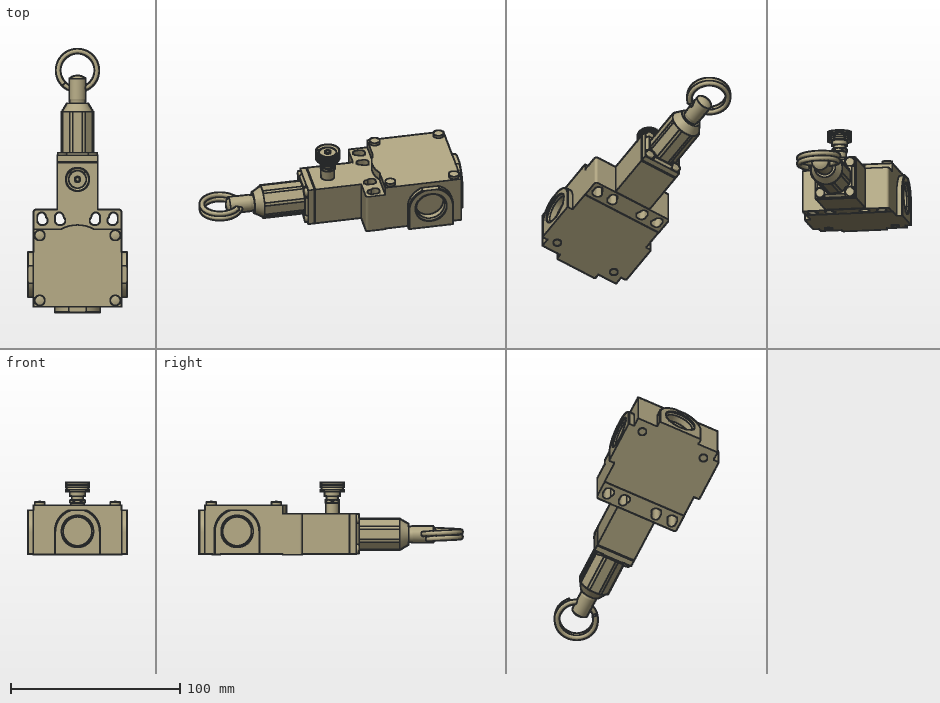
import cadquery as cq
import math


box_width = 52.0
box_height = 29.0
cover_end_y = 45.95
cover_bump_half_width = 9.5
cover_bump_y = 48.35
flange_end_y = 57.5
flange_corner_radius = 1.5

neck_size = 24.0

foot_height = 0.4
foot_diameter = 4.75
foot_x = 20.0
foot_y = 6.8

mount_hole_diameter = 5.0
mount_hole_y = 50.9
mount_hole_spacings = (9.75, 20.2)
mount_slot_shift = 1.0
mount_slot_travel = 2.25

boss_projection = 3.5
boss_radius = 13.5
boss_top_z = 26.0
boss_edge_chamfer = 0.5
conduit_diameter = 17.0
conduit_mouth_diameter = 19.0
conduit_mouth_depth = 0.8
conduit_cone_depth = 1.0
conduit_depth = 6.0
side_boss_y = 19.0

cover_screw_diameter = 6.0
cover_screw_rim = 1.75
cover_screw_dome = 0.4
cover_screw_x = 22.3
cover_screw_y = (3.75, 42.2)

seam_y = 85.2
seam_width = 0.5
seam_depth = 0.3
plate_shoulder_y = 89.4
plate_end_y = 91.1
plate_raise = plate_end_y - plate_shoulder_y
plate_chamfer = 1.6
plate_screw_diameter = 5.5
plate_screw_offset = 9.0
plate_screw_edge = 0.4

pull_axis_z = 11.75

boot_facets = 8
boot_across_flats = 19.0
boot_facet_width = 5.9
boot_shoulder_y = 115.1
boot_end_y = 120.3
boot_nose_base_diameter = 18.8
boot_nose_tip_diameter = 12.6

rod_diameter = 10.0
rod_base_y = 110.0
rod_neck_diameter = 9.4
rod_neck_y = 121.2
rod_step_y = 122.6
rod_shoulder_y = 134.8
rod_dome_height = 1.9

ring_wire_diameter = 3.0
ring_outer_diameter = 25.8
ring_end_y = 152.49
ring_pitch = 3.06
ring_turns = 1.75

button_y = 75.25
button_base_z = 20.0
stem_diameter = 8.0
stem_top_z = 30.1
nut_across_corners = 9.6
nut_rounded_diameter = 9.2
nut_chamfer = 0.6
nut_top_z = 32.2
button_neck_diameter = 7.0
collar_diameter = 9.2
collar_z = 34.3
head_diameter = 14.0
head_z = 37.0
lower_groove_z = 38.2
lower_groove_floor_diameter = 13.4
groove_diameter = 12.4
middle_rib_z = 39.5
upper_groove_z = 40.6
top_rib_z = 41.15
button_top_z = 42.35
dish_rim_diameter = 13.4
dish_floor_diameter = 10.3
dish_depth = 1.2
dish_wall_height = 0.3
button_pin_diameter = 3.5
button_pin_tip_diameter = 2.5
button_pin_height = 0.9
button_pin_chamfer = 0.2


def block(width, y_start, y_end, z_start, z_end):
    """Box centred on X between the given Y and Z limits."""
    size_y = y_end - y_start
    size_z = z_end - z_start
    return cq.Workplane("XY").box(width, size_y, size_z, centered=(True, False, False)).translate(
        (0, y_start, z_start)
    )


def dome_midpoint(radius, height):
    """Point halfway out on a spherical dome: distance from its axis and rise above its base."""
    sphere_radius = (radius**2 + height**2) / (2 * height)
    distance = radius / 2
    return distance, height - sphere_radius + math.sqrt(sphere_radius**2 - distance**2)


def cover_outline():
    half_width = box_width / 2
    return (
        cq.Workplane("XY")
        .moveTo(-half_width, 0)
        .lineTo(half_width, 0)
        .lineTo(half_width, cover_end_y)
        .lineTo(cover_bump_half_width, cover_end_y)
        .threePointArc((0, cover_bump_y), (-cover_bump_half_width, cover_end_y))
        .lineTo(-half_width, cover_end_y)
        .close()
    )


def conduit_boss():
    """Arched boss with a flat top, standing on the front face and centred on X = 0."""
    arch = (
        cq.Workplane("XZ")
        .moveTo(-boss_radius, 0)
        .lineTo(boss_radius, 0)
        .lineTo(boss_radius, boss_radius)
        .threePointArc((0, 2 * boss_radius), (-boss_radius, boss_radius))
        .close()
        .extrude(boss_projection)
    )
    arch = arch.faces("<Y").edges("not(<Z)").chamfer(boss_edge_chamfer)
    return arch.intersect(block(2 * boss_radius, -boss_projection, 0, 0, boss_top_z))


def conduit_hole():
    """Blind round hole with a wider mouth that narrows in a cone, entering the front boss."""
    profile = [
        (0, -boss_projection),
        (conduit_mouth_diameter / 2, -boss_projection),
        (conduit_mouth_diameter / 2, conduit_mouth_depth - boss_projection),
        (conduit_diameter / 2, conduit_mouth_depth + conduit_cone_depth - boss_projection),
        (conduit_diameter / 2, conduit_depth - boss_projection),
        (0, conduit_depth - boss_projection),
    ]
    hole = cq.Workplane("XY").polyline(profile).close().revolve(360, (0, 0), (0, 1))
    return hole.translate((0, 0, boss_radius))


def on_three_sides(front_feature):
    """Copies of a front feature on the front, left and right of the box."""
    copies = [front_feature]
    for side in (-1, 1):
        turned = front_feature.rotate((0, 0, 0), (0, 0, 1), side * 90)
        copies.append(turned.translate((side * box_width / 2, side_boss_y, 0)))
    return copies


def mounting_hole(x, side):
    """Through hole merged with a short slot that is shifted outwards."""
    height = neck_size + 2 * foot_height
    round_hole = cq.Workplane("XY").center(x, mount_hole_y).circle(mount_hole_diameter / 2).extrude(height)
    slot = (
        cq.Workplane("XY")
        .center(x + side * mount_slot_shift, mount_hole_y + mount_slot_travel / 2)
        .slot2D(mount_hole_diameter + mount_slot_travel, mount_hole_diameter, 90)
        .extrude(height)
    )
    return round_hole.union(slot).translate((0, 0, -foot_height))


def cover_screw_head():
    """Round head whose top is a shallow spherical dome."""
    radius = cover_screw_diameter / 2
    top_z = cover_screw_rim + cover_screw_dome
    mid_x, mid_rise = dome_midpoint(radius, cover_screw_dome)
    return (
        cq.Workplane("XZ")
        .lineTo(radius, 0)
        .lineTo(radius, cover_screw_rim)
        .threePointArc((mid_x, cover_screw_rim + mid_rise), (0, top_z))
        .close()
        .revolve(360, (0, 0), (0, 1))
    )


def plate_screw_head():
    head = cq.Workplane("XZ").circle(plate_screw_diameter / 2).extrude(-plate_raise)
    return head.faces(">Y").edges().fillet(plate_screw_edge)


def end_plate():
    """Chamfered pad on the neck end, cut back at the corners for four screw heads."""
    pad = block(neck_size, plate_shoulder_y, plate_end_y, 0, neck_size)
    pad = pad.faces(">Y").edges().chamfer(plate_chamfer)
    pocket_reach = neck_size / 2 - plate_screw_offset + plate_screw_diameter / 2
    pocket = block(2 * pocket_reach, plate_shoulder_y, plate_end_y, -pocket_reach, pocket_reach)
    sides = (-1, 1)
    for side_x in sides:
        for side_z in sides:
            pad = pad.cut(pocket.translate((side_x * neck_size / 2, 0, (1 + side_z) * neck_size / 2)))
    heads = [
        plate_screw_head().translate(
            (side_x * plate_screw_offset, plate_shoulder_y, neck_size / 2 + side_z * plate_screw_offset)
        )
        for side_x in sides
        for side_z in sides
    ]
    return [pad] + heads


def make_housing():
    flange = block(box_width, 0, flange_end_y, 0, neck_size)
    flange = flange.union(block(box_width, cover_end_y, flange_end_y, -foot_height, 0))
    flange = flange.edges("|Z and >Y").fillet(flange_corner_radius)
    housing = flange.union(cover_outline().extrude(box_height))

    neck = block(neck_size, cover_end_y, plate_shoulder_y, 0, neck_size)
    seam = block(neck_size, seam_y, seam_y + seam_width, 0, neck_size)
    seam_core = block(
        neck_size - 2 * seam_depth, seam_y, seam_y + seam_width, seam_depth, neck_size - seam_depth
    )
    housing = housing.union(neck.cut(seam.cut(seam_core)))
    for piece in end_plate():
        housing = housing.union(piece)

    for boss in on_three_sides(conduit_boss()):
        housing = housing.union(boss)
    for hole in on_three_sides(conduit_hole()):
        housing = housing.cut(hole)

    for side in (-1, 1):
        for spacing in mount_hole_spacings:
            housing = housing.cut(mounting_hole(side * spacing, side))
        foot = cq.Workplane("XY").circle(foot_diameter / 2).extrude(-foot_height)
        housing = housing.union(foot.translate((side * foot_x, foot_y, 0)))
        for screw_y in cover_screw_y:
            housing = housing.union(cover_screw_head().translate((side * cover_screw_x, screw_y, box_height)))

    button_hole = cq.Workplane("XY").circle(stem_diameter / 2).extrude(neck_size - button_base_z)
    return housing.cut(button_hole.translate((0, button_y, button_base_z)))


def turned_on_pull_axis(profile):
    """Revolve an outline of radius and Y about the pull axis."""
    return profile.close().revolve(360, (0, 0), (0, 1)).translate((0, 0, pull_axis_z))


def make_boot():
    """Octagon with bevelled corners and a conical nose, bored for the rod."""
    flat_radius = boot_across_flats / 2
    corner_radius = math.hypot(flat_radius, boot_facet_width / 2)
    facet_half_angle = math.atan2(boot_facet_width / 2, flat_radius)
    outline = []
    for facet in range(boot_facets):
        for end in (-1, 1):
            angle = facet * 2 * math.pi / boot_facets + end * facet_half_angle
            outline.append((corner_radius * math.cos(angle), corner_radius * math.sin(angle)))
    grip = cq.Workplane("XZ").polyline(outline).close().extrude(plate_end_y - boot_shoulder_y)
    grip = grip.translate((0, plate_end_y, pull_axis_z))
    nose = turned_on_pull_axis(
        cq.Workplane("XY")
        .moveTo(0, boot_shoulder_y)
        .lineTo(boot_nose_base_diameter / 2, boot_shoulder_y)
        .lineTo(boot_nose_tip_diameter / 2, boot_end_y)
        .lineTo(0, boot_end_y)
    )
    bore = cq.Workplane("XZ").circle(rod_neck_diameter / 2).extrude(rod_base_y - boot_end_y)
    return grip.union(nose).cut(bore.translate((0, rod_base_y, pull_axis_z)))


def make_ring():
    """Split ring: round wire wound as a flat helix through the rod."""
    coil_radius = (ring_outer_diameter - ring_wire_diameter) / 2
    coil_height = ring_pitch * ring_turns
    path = cq.Wire.makeHelix(ring_pitch, coil_height, coil_radius)
    wire = (
        cq.Workplane("XZ", origin=(coil_radius, 0, 0))
        .circle(ring_wire_diameter / 2)
        .sweep(cq.Workplane(obj=path), isFrenet=True)
    )
    towards_rod = 270
    start_angle = towards_rod - ring_turns * 180
    ring_centre_y = ring_end_y - ring_outer_diameter / 2
    return wire.rotate((0, 0, 0), (0, 0, 1), start_angle).translate(
        (0, ring_centre_y, pull_axis_z - coil_height / 2)
    )


def make_rod(ring):
    """Domed pull rod with a passage for the ring wire."""
    radius = rod_diameter / 2
    dome_y = rod_shoulder_y + rod_dome_height
    mid_x, mid_rise = dome_midpoint(radius, rod_dome_height)
    rod = turned_on_pull_axis(
        cq.Workplane("XY")
        .moveTo(0, rod_base_y)
        .lineTo(rod_neck_diameter / 2, rod_base_y)
        .lineTo(rod_neck_diameter / 2, rod_neck_y)
        .lineTo(radius, rod_step_y)
        .lineTo(radius, rod_shoulder_y)
        .threePointArc((mid_x, rod_shoulder_y + mid_rise), (0, dome_y))
    )
    return rod.cut(ring)


def button_nut():
    """Hexagon nut with both ends rounded off by a cone."""
    height = nut_top_z - stem_top_z
    nut = cq.Workplane("XY").polygon(6, nut_across_corners).extrude(height)
    rounding = cq.Workplane("XY").circle(nut_rounded_diameter / 2).extrude(height)
    return nut.intersect(rounding.edges().chamfer(nut_chamfer)).translate((0, 0, stem_top_z))


def make_button():
    rim = head_diameter / 2
    groove = groove_diameter / 2
    floor = dish_floor_diameter / 2
    pin = button_pin_diameter / 2
    pin_tip = button_pin_tip_diameter / 2
    dish_z = button_top_z - dish_depth
    pin_top_z = dish_z + button_pin_height
    profile = [
        (0, button_base_z),
        (stem_diameter / 2, button_base_z),
        (stem_diameter / 2, stem_top_z),
        (button_neck_diameter / 2, stem_top_z),
        (button_neck_diameter / 2, collar_z),
        (collar_diameter / 2, collar_z),
        (collar_diameter / 2, head_z),
        (rim, head_z),
        (rim, lower_groove_z),
        (lower_groove_floor_diameter / 2, lower_groove_z),
        (groove, middle_rib_z),
        (rim, middle_rib_z),
        (rim, upper_groove_z),
        (groove, upper_groove_z),
        (groove, top_rib_z),
        (rim, top_rib_z),
        (rim, button_top_z),
        (dish_rim_diameter / 2, button_top_z),
        (floor, dish_z + dish_wall_height),
        (floor, dish_z),
        (pin, dish_z),
        (pin, pin_top_z - button_pin_chamfer),
        (pin_tip, pin_top_z),
        (0, pin_top_z),
    ]
    button = cq.Workplane("XZ").polyline(profile).close().revolve(360, (0, 0), (0, 1))
    return button.union(button_nut()).translate((0, button_y, 0))


housing = make_housing()
boot = make_boot()
ring = make_ring()
rod = make_rod(ring)
button = make_button()

bodies = [housing, boot, rod, ring, button]
result = cq.Compound.makeCompound([body.solids().val() for body in bodies])